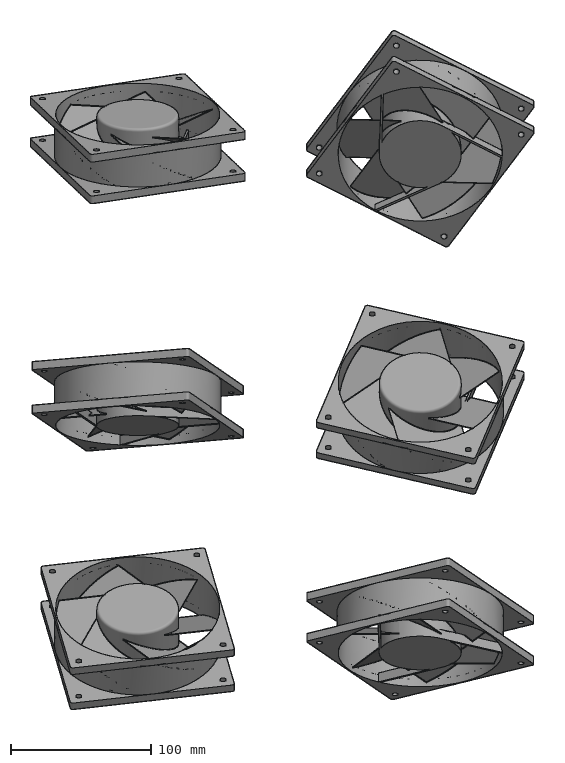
import cadquery as cq

side = 119.0
height = 38.0
flange_thickness = 6.0
corner_radius = 2.0
bore_radius = 58.5
hole_spacing = 104.7
hole_diameter = 4.2

hub_radius = 29.3
hub_fillet = 2.0

blade_count = 6
blade_half_width = 26.4
blade_high_z = 31.9
blade_low_z = 3.7
blade_thickness = 0.7

strut_count = 3
strut_width = 1.5
strut_height = 7.0
strut_offset = hub_radius - strut_width / 2
strut_start_angle = 30.0

wall_overlap = 0.5
outer_reach = bore_radius + wall_overlap


def make_flange(base_z):
    return (
        cq.Workplane("XY", origin=(0, 0, base_z))
        .rect(side, side)
        .extrude(flange_thickness)
        .edges("|Z")
        .fillet(corner_radius)
    )


def make_frame():
    duct = cq.Workplane("XY").circle(side / 2).extrude(height)
    frame = duct.union(make_flange(0)).union(make_flange(height - flange_thickness))
    bore = cq.Workplane("XY").circle(bore_radius).extrude(height)
    holes = (
        cq.Workplane("XY")
        .rect(hole_spacing, hole_spacing, forConstruction=True)
        .vertices()
        .circle(hole_diameter / 2)
        .extrude(height)
    )
    return frame.cut(bore).cut(holes)


def make_hub():
    hub = cq.Workplane("XY").circle(hub_radius).extrude(height)
    return hub.faces(">Z").edges().fillet(hub_fillet)


def make_blade():
    """Blade along +X: a sloping strip trimmed to the duct, high on its -Y edge."""
    start_x = hub_radius / 2
    section = [
        (-blade_half_width, blade_high_z),
        (blade_half_width, blade_low_z),
        (blade_half_width, blade_low_z - blade_thickness),
        (-blade_half_width, blade_high_z - blade_thickness),
    ]
    strip = (
        cq.Workplane("YZ", origin=(start_x, 0, 0))
        .polyline(section)
        .close()
        .extrude(outer_reach - start_x)
    )
    return strip.intersect(cq.Workplane("XY").circle(outer_reach).extrude(height))


def make_strut():
    """Strut parallel to X, level with the underside and offset towards -Y."""
    strip = (
        cq.Workplane("XY")
        .center(outer_reach / 2, -strut_offset)
        .rect(outer_reach, strut_width)
        .extrude(strut_height)
    )
    return strip.intersect(cq.Workplane("XY").circle(outer_reach).extrude(height))


def add_around(body, item, count, start_angle=0.0):
    for index in range(count):
        angle = start_angle + index * 360 / count
        body = body.union(item.rotate((0, 0, 0), (0, 0, 1), angle))
    return body


result = make_frame().union(make_hub())
result = add_around(result, make_blade(), blade_count)
result = add_around(result, make_strut(), strut_count, strut_start_angle)